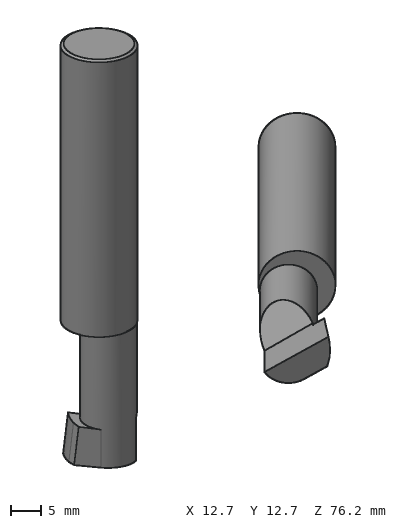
import cadquery as cq
import math

total_length = 76.2
shank_radius = 6.36
shank_bottom = 25.4
chamfer_width = 0.5
chamfer_height = 0.3

neck_radius = 4.7
neck_x = shank_radius - neck_radius

relief_start = 8.2

head_height = 7.7
tip_x = -6.2
head_lean = 0.8
nose_x = 1.9
nose_y = -3.4
nose_bevel = neck_radius + nose_y
nose_bulge = 0.15

end_angle_x = 2.0
end_angle_y = 5.0


def make_shank():
    length = total_length - shank_bottom
    shank = cq.Workplane("XY").workplane(offset=shank_bottom).circle(shank_radius).extrude(length)
    return shank.faces(">Z").edges().chamfer(chamfer_height, chamfer_width)


def make_neck():
    return cq.Workplane("XY").center(neck_x, 0).circle(neck_radius).extrude(shank_bottom)


def make_relief():
    """Clearance on the +Y side of the neck: flat at Y = 0, then a 45 degree run-out."""
    reach = 2 * neck_radius
    return (
        cq.Workplane("YZ")
        .polyline([(0, 0), (reach, 0), (reach, relief_start + reach), (0, relief_start)])
        .close()
        .extrude(shank_radius, both=True)
    )


def head_outline(plane, shift):
    """Half-section of the head with its leading side moved along X by shift."""
    start_x = tip_x + shift
    corner_x = start_x + nose_x
    chord = math.hypot(nose_x, nose_y)
    middle_x = start_x + nose_x / 2 + nose_bulge * nose_y / chord
    middle_y = nose_y / 2 - nose_bulge * nose_x / chord
    return (
        plane.moveTo(start_x, 0)
        .threePointArc((middle_x, middle_y), (corner_x, nose_y))
        .lineTo(corner_x + nose_bevel, -neck_radius)
        .lineTo(neck_x, -neck_radius)
        .lineTo(neck_x, 0)
        .close()
    )


def make_head():
    bottom = head_outline(cq.Workplane("XY"), 0)
    return head_outline(bottom.workplane(offset=head_height), head_lean).loft(ruled=True)


def make_end_clearance():
    """Block below the end face, which rises from the tip toward +X and -Y."""
    size = 4 * shank_radius
    block = cq.Workplane("XY").box(size, size, size, centered=(True, True, False))
    block = block.translate((0, 0, -size))
    block = block.rotate((0, 0, 0), (1, 0, 0), -end_angle_y)
    block = block.rotate((0, 0, 0), (0, 1, 0), -end_angle_x)
    return block.translate((tip_x, 0, 0))


neck = make_neck().cut(make_relief())
tool_end = neck.union(make_head()).cut(make_end_clearance())
result = make_shank().union(tool_end)